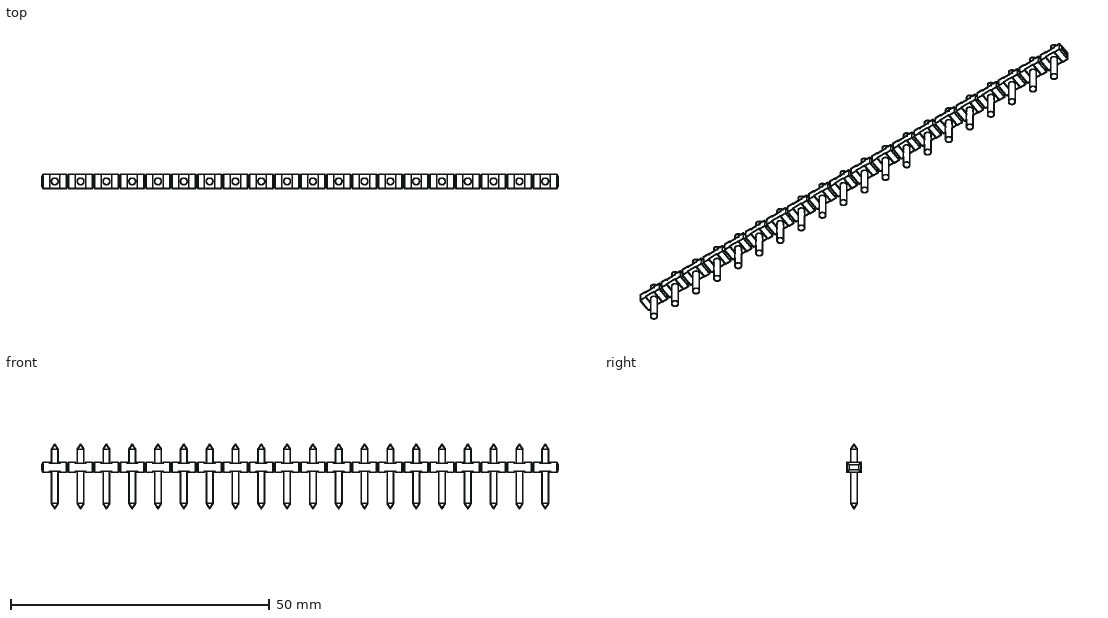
import cadquery as cq

pin_count = 20
pitch = 5.0

body_width = 2.8
body_height = 2.0
body_bottom = 7.0
neck_inset = 0.5
taper_length = 0.25
groove_width = 2.0
groove_depth = 0.2

pin_diameter = 1.3
pin_length = 12.5
point_length = 1.0

neck_width = body_width - 2 * neck_inset
neck_height = body_height - 2 * neck_inset
block_length = pitch - 2 * taper_length
body_middle = body_bottom + body_height / 2


def end_taper(side):
    """Pyramid-shaped end of a segment, on the -X (side = -1) or +X (side = 1) end."""
    end_plane = cq.Plane(
        origin=(side * block_length / 2, 0, body_middle), xDir=(0, 1, 0), normal=(side, 0, 0)
    )
    return (
        cq.Workplane(end_plane)
        .rect(body_width, body_height)
        .workplane(offset=taper_length)
        .rect(neck_width, neck_height)
        .loft(ruled=True)
    )


def segment_body():
    """Block with tapered ends and a cross groove in its top and bottom faces."""
    body = cq.Workplane("XY").box(block_length, body_width, body_height)
    groove = cq.Workplane("XY").box(groove_width, body_width, 2 * groove_depth)
    for side in (-1, 1):
        body = body.cut(groove.translate((0, 0, side * body_height / 2)))
    body = body.translate((0, 0, body_middle))
    return body.union(end_taper(-1)).union(end_taper(1))


def pin():
    """Round rod with a conical point at each end."""
    radius = pin_diameter / 2
    half_profile = [
        (0, 0),
        (radius, point_length),
        (radius, pin_length - point_length),
        (0, pin_length),
    ]
    return cq.Workplane("XZ").polyline(half_profile).close().revolve(360, (0, 0), (0, 1))


segment = segment_body().union(pin()).val()
segments = [segment.translate(cq.Vector((i + 0.5) * pitch, 0, 0)) for i in range(pin_count)]
strip = segments[0].fuse(*segments[1:])
result = cq.Workplane("XY").newObject(strip.Solids())